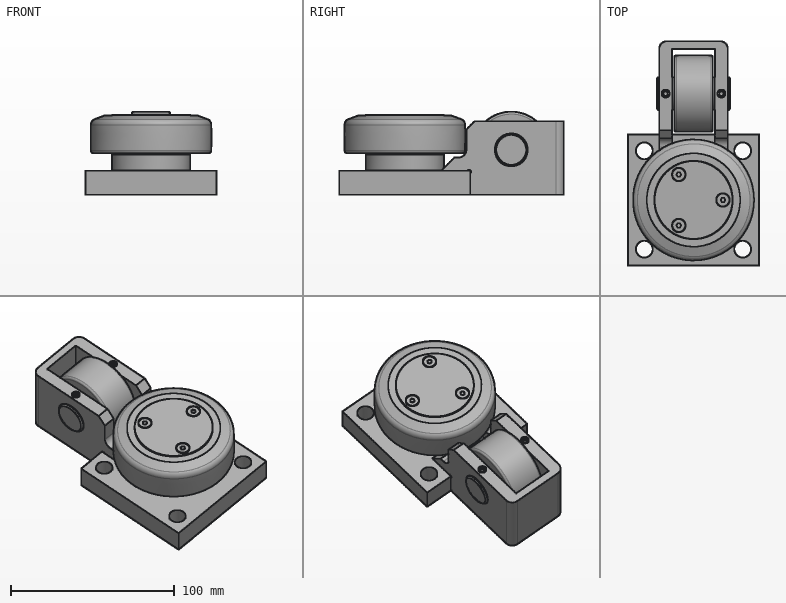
import cadquery as cq
import math


TOTAL_LENGTH = 137.0
TOTAL_HEIGHT = 51.0

PLATE_SIDE = 80.0
PLATE_THICKNESS = 15.0
BOLT_HOLE_DIAMETER = 10.1
BOLT_SPACING = 60.0

HUB_DIAMETER = 48.0
HUB_CHAMFER = 0.3
HUB_TOP = 24.8
ROLLER_RADIUS = 36.9
ROLLER_CROWN = 0.1
ROLLER_BOTTOM = 25.3
ROLLER_TOP = 48.5
LOWER_ROUND = 1.9
SHOULDER_START = 42.7
SHOULDER_ROUND = 3.8
TOP_FACE_RADIUS = 28.5
CONE_ANGLE = 21.0

CAP_HEIGHT = 0.5
CAP_CHAMFER = 0.3
SCREW_COUNT = 3
SCREW_CIRCLE_RADIUS = 18.0
SCREW_BORE_DIAMETER = 8.4
SCREW_HEAD_DIAMETER = 7.8
SCREW_SOCKET_CORNERS = 2.9
SCREW_RECESS_DEPTH = 0.4

FORK_BACK = TOTAL_LENGTH - PLATE_SIDE / 2
FORK_WIDTH = 42.0
FORK_HEIGHT = 45.1
FORK_SLOT_WIDTH = 26.0
FORK_BACK_WALL = 5.0
FORK_CORNER_ROUND = 5.0
ARM_FRONT = 37.5
ARM_CHAMFER = 5.1
FOOT_TOP = 22.9
FOOT_FRONT = 30.3
FOOT_ROUND = 5.0
RELIEF_RADIUS = 1.1

AXLE_Y = 65.0
AXIAL_ROLLER_RADIUS = 23.4
AXLE_Z = TOTAL_HEIGHT - AXIAL_ROLLER_RADIUS
AXIAL_ROLLER_WIDTH = 23.5
AXIAL_ROLLER_ROUND = 1.4
AXIAL_ROLLER_CROWN = 0.07
COLLAR_DIAMETER = 20.0
PIN_DIAMETER = 20.1
PIN_LENGTH = 45.0
PIN_CHAMFER = 1.0

SET_SCREW_DIAMETER = 5.0
SET_SCREW_DEPTH = 0.3
SET_SCREW_SOCKET_CORNERS = 3.3
SET_SCREW_SOCKET_DEPTH = 1.6
SET_SCREW_CONE_DEPTH = 1.0


def make_plate():
    plate = cq.Workplane("XY").box(PLATE_SIDE, PLATE_SIDE, PLATE_THICKNESS, centered=(True, True, False))
    return (
        plate.faces(">Z").workplane()
        .rect(BOLT_SPACING, BOLT_SPACING, forConstruction=True)
        .vertices().hole(BOLT_HOLE_DIAMETER)
    )


def make_main_roller():
    """Hub, roller and cap as one turned shape."""
    hub_radius = HUB_DIAMETER / 2
    neck_radius = hub_radius - HUB_CHAMFER
    slope = math.radians(CONE_ANGLE)
    shoulder_end = (
        ROLLER_RADIUS - SHOULDER_ROUND * (1 - math.sin(slope)),
        SHOULDER_START + SHOULDER_ROUND * math.cos(slope),
    )
    half_sweep = (math.pi / 2 - slope) / 2
    shoulder_middle = (
        ROLLER_RADIUS - SHOULDER_ROUND * (1 - math.cos(half_sweep)),
        SHOULDER_START + SHOULDER_ROUND * math.sin(half_sweep),
    )
    lower_middle = (
        ROLLER_RADIUS - LOWER_ROUND * (1 - math.sqrt(0.5)),
        ROLLER_BOTTOM + LOWER_ROUND * (1 - math.sqrt(0.5)),
    )
    tread_start = ROLLER_BOTTOM + LOWER_ROUND
    tread_middle = (ROLLER_RADIUS + ROLLER_CROWN, (tread_start + SHOULDER_START) / 2)
    cap_top = ROLLER_TOP + CAP_HEIGHT
    profile = (
        cq.Workplane("XZ")
        .moveTo(0, PLATE_THICKNESS)
        .lineTo(neck_radius, PLATE_THICKNESS)
        .lineTo(hub_radius, PLATE_THICKNESS + HUB_CHAMFER)
        .lineTo(hub_radius, HUB_TOP - HUB_CHAMFER)
        .lineTo(neck_radius, HUB_TOP)
        .lineTo(neck_radius, ROLLER_BOTTOM)
        .lineTo(ROLLER_RADIUS - LOWER_ROUND, ROLLER_BOTTOM)
        .threePointArc(lower_middle, (ROLLER_RADIUS, tread_start))
        .threePointArc(tread_middle, (ROLLER_RADIUS, SHOULDER_START))
        .threePointArc(shoulder_middle, shoulder_end)
        .lineTo(TOP_FACE_RADIUS, ROLLER_TOP)
        .lineTo(hub_radius, ROLLER_TOP)
        .lineTo(hub_radius, cap_top - CAP_CHAMFER)
        .lineTo(hub_radius - CAP_CHAMFER, cap_top)
        .lineTo(0, cap_top)
        .close()
    )
    return profile.revolve(360, (0, 0, 0), (0, 1, 0))


def make_cap_screw_recesses():
    """A narrow ring around each screw head and the hexagon socket in its middle."""
    return (
        cq.Workplane("XY", origin=(0, 0, ROLLER_TOP + CAP_HEIGHT))
        .polarArray(SCREW_CIRCLE_RADIUS, 0, 360, SCREW_COUNT)
        .circle(SCREW_BORE_DIAMETER / 2).circle(SCREW_HEAD_DIAMETER / 2)
        .extrude(-SCREW_RECESS_DEPTH)
        .polarArray(SCREW_CIRCLE_RADIUS, 0, 360, SCREW_COUNT)
        .polygon(6, SCREW_SOCKET_CORNERS)
        .extrude(-SCREW_RECESS_DEPTH)
    )


def make_roller_plate():
    return make_plate().union(make_main_roller()).cut(make_cap_screw_recesses())


def make_fork_frame():
    """Side profile across the full width, slotted for the axial roller."""
    plate_back = PLATE_SIDE / 2
    foot_tip = FOOT_FRONT - (FOOT_TOP - PLATE_THICKNESS)
    frame = (
        cq.Workplane("YZ")
        .moveTo(FORK_BACK, 0)
        .lineTo(FORK_BACK, FORK_HEIGHT)
        .lineTo(ARM_FRONT + ARM_CHAMFER, FORK_HEIGHT)
        .lineTo(ARM_FRONT, FORK_HEIGHT - ARM_CHAMFER)
        .lineTo(ARM_FRONT, FOOT_TOP + FOOT_ROUND)
        .radiusArc((ARM_FRONT - FOOT_ROUND, FOOT_TOP), FOOT_ROUND)
        .lineTo(FOOT_FRONT, FOOT_TOP)
        .lineTo(foot_tip, PLATE_THICKNESS)
        .lineTo(plate_back, PLATE_THICKNESS)
        .lineTo(plate_back, 0)
        .close()
        .extrude(FORK_WIDTH / 2, both=True)
    )
    frame = frame.edges("|Z and >Y").fillet(FORK_CORNER_ROUND)
    slot_end = FORK_BACK - FORK_BACK_WALL
    slot = (
        cq.Workplane("XY")
        .box(FORK_SLOT_WIDTH, slot_end, FORK_HEIGHT, centered=(True, False, False))
    )
    return frame.cut(slot)


def make_corner_relief():
    """Round undercut that clears the upper back edge of the plate."""
    offset = RELIEF_RADIUS * math.sqrt(0.5)
    return (
        cq.Workplane("YZ")
        .center(PLATE_SIDE / 2 - offset, PLATE_THICKNESS - offset)
        .circle(RELIEF_RADIUS)
        .extrude(FORK_WIDTH / 2, both=True)
    )


def axle_cylinder(diameter, length):
    return (
        cq.Workplane("YZ", origin=(-length / 2, AXLE_Y, AXLE_Z))
        .circle(diameter / 2).extrude(length)
    )


def make_axial_roller():
    half_width = AXIAL_ROLLER_WIDTH / 2
    tread_end = half_width - AXIAL_ROLLER_ROUND
    side_radius = AXIAL_ROLLER_RADIUS - AXIAL_ROLLER_CROWN
    round_start = side_radius - AXIAL_ROLLER_ROUND
    profile = (
        cq.Workplane("XY", origin=(0, AXLE_Y, AXLE_Z))
        .moveTo(-half_width, 0)
        .lineTo(-half_width, round_start)
        .radiusArc((-tread_end, side_radius), AXIAL_ROLLER_ROUND)
        .threePointArc((0, AXIAL_ROLLER_RADIUS), (tread_end, side_radius))
        .radiusArc((half_width, round_start), AXIAL_ROLLER_ROUND)
        .lineTo(half_width, 0)
        .close()
    )
    return profile.revolve(360, (0, 0, 0), (1, 0, 0))


def make_pin():
    pin = axle_cylinder(PIN_DIAMETER, PIN_LENGTH).faces("<X or >X").chamfer(PIN_CHAMFER)
    gap = axle_cylinder(PIN_DIAMETER, FORK_SLOT_WIDTH)
    collar = axle_cylinder(COLLAR_DIAMETER, FORK_SLOT_WIDTH)
    return pin.cut(gap).union(collar)


def make_set_screw_recess(x):
    """Shallow recess with a hexagon socket that ends in a drill cone."""
    recess_floor = FORK_HEIGHT - SET_SCREW_DEPTH
    socket_floor = recess_floor - SET_SCREW_SOCKET_DEPTH
    cone_radius = SET_SCREW_SOCKET_CORNERS / 2 * math.cos(math.pi / 6)
    recess = (
        cq.Workplane("XY", origin=(x, AXLE_Y, recess_floor))
        .circle(SET_SCREW_DIAMETER / 2).extrude(SET_SCREW_DEPTH)
    )
    socket = (
        cq.Workplane("XY", origin=(x, AXLE_Y, recess_floor))
        .transformed(rotate=(0, 0, 90))
        .polygon(6, SET_SCREW_SOCKET_CORNERS).extrude(-SET_SCREW_SOCKET_DEPTH)
    )
    cone = cq.Workplane(
        cq.Solid.makeCone(
            cone_radius, 0, SET_SCREW_CONE_DEPTH,
            pnt=cq.Vector(x, AXLE_Y, socket_floor), dir=cq.Vector(0, 0, -1),
        )
    )
    return recess.union(socket).union(cone)


def make_fork():
    fork = make_fork_frame().cut(make_corner_relief())
    fork = fork.union(make_pin()).union(make_axial_roller())
    arm_middle = (FORK_WIDTH + FORK_SLOT_WIDTH) / 4
    for x in (-arm_middle, arm_middle):
        fork = fork.cut(make_set_screw_recess(x))
    return fork


roller_plate = make_roller_plate()
fork = make_fork()

result = cq.Compound.makeCompound([roller_plate.val(), fork.val()])